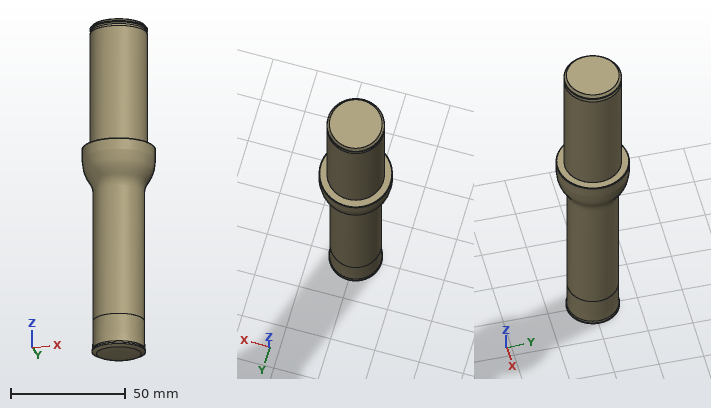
import cadquery as cq
import math

total_height = 150

shank_radius = 25.0 / 2
top_chamfer_height = 1.2
top_chamfer_width = 1.0
rim_height = 0.5
groove_depth = 0.5
groove_floor_height = 0.8
groove_flank_height = 1.0

collar_radius = 32.0 / 2
collar_top_z = 94.0
collar_chamfer = 0.3
collar_band_bottom_z = 88.8
neck_bottom_z = 74.0
bulge_share = 2 / 3

stem_radius = 22.5 / 2
joint_z = 15.2
flare_start_z = 6.2
flare_end_z = 2.5
flare_radius = 11.4
lip_top_z = 1.8
lip_bottom_z = 1.2
lip_radius = 11.7
face_edge_z = 0.3
face_edge_radius = 9.8
tip_radius = 11.4 / 2


def make_shank():
    """Revolve the shank, collar and stem as one solid down to the joint."""
    rim_top_z = total_height - top_chamfer_height
    groove_top_z = rim_top_z - rim_height
    groove_floor_z = groove_top_z - groove_floor_height
    groove_bottom_z = groove_floor_z - groove_flank_height
    groove_radius = shank_radius - groove_depth

    curve_width = collar_radius - stem_radius
    curve_height = collar_band_bottom_z - neck_bottom_z
    curve_angle = 2 * math.atan2(curve_width, curve_height)
    bulge_height = bulge_share * curve_height
    bulge_width = bulge_share * curve_width
    bulge_arc_radius = bulge_height / math.sin(curve_angle)
    neck_arc_radius = (curve_height - bulge_height) / math.sin(curve_angle)

    def arc_offset(radius, angle):
        return radius * (1 - math.cos(angle)), radius * math.sin(angle)

    bulge_in, bulge_drop = arc_offset(bulge_arc_radius, curve_angle / 2)
    neck_out, neck_rise = arc_offset(neck_arc_radius, curve_angle / 2)

    return (
        cq.Workplane("XZ")
        .moveTo(0, total_height)
        .lineTo(shank_radius - top_chamfer_width, total_height)
        .lineTo(shank_radius, rim_top_z)
        .lineTo(shank_radius, groove_top_z)
        .lineTo(groove_radius, groove_top_z)
        .lineTo(groove_radius, groove_floor_z)
        .lineTo(shank_radius, groove_bottom_z)
        .lineTo(shank_radius, collar_top_z)
        .lineTo(collar_radius - collar_chamfer, collar_top_z)
        .lineTo(collar_radius, collar_top_z - collar_chamfer)
        .lineTo(collar_radius, collar_band_bottom_z)
        .threePointArc(
            (collar_radius - bulge_in, collar_band_bottom_z - bulge_drop),
            (collar_radius - bulge_width, collar_band_bottom_z - bulge_height),
        )
        .threePointArc(
            (stem_radius + neck_out, neck_bottom_z + neck_rise),
            (stem_radius, neck_bottom_z),
        )
        .lineTo(stem_radius, joint_z)
        .lineTo(0, joint_z)
        .close()
        .revolve(360, (0, 0), (0, 1))
    )


def make_head():
    """Revolve the flared head with its lip and shallow conical end face."""
    return (
        cq.Workplane("XZ")
        .moveTo(0, joint_z)
        .lineTo(stem_radius, joint_z)
        .lineTo(stem_radius, flare_start_z)
        .lineTo(flare_radius, flare_end_z)
        .lineTo(lip_radius, lip_top_z)
        .lineTo(lip_radius, lip_bottom_z)
        .lineTo(face_edge_radius, face_edge_z)
        .lineTo(tip_radius, 0)
        .lineTo(0, 0)
        .close()
        .revolve(360, (0, 0), (0, 1))
    )


shank = make_shank()
head = make_head()
result = cq.Compound.makeCompound([shank.val(), head.val()])